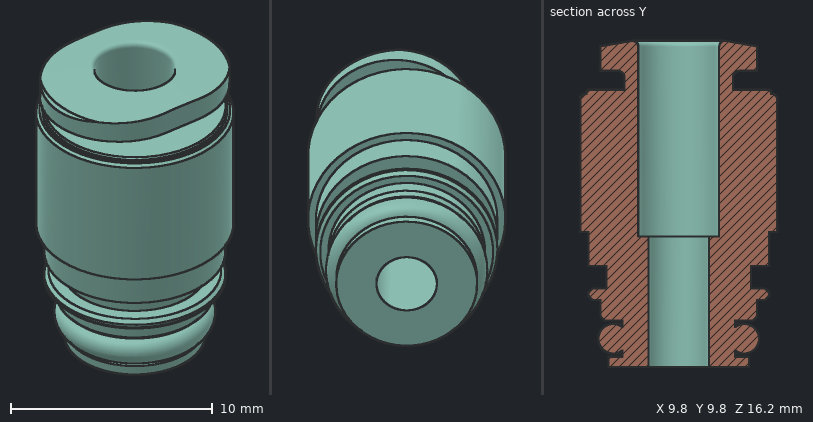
import cadquery as cq

total_height = 16.2
button_bottom = 14.7
body_top = 13.77
lip_bottom = 13.56
body_bottom = 6.69
skirt_bottom = 5.0
collar_top = 3.9
collar_bottom = 3.32
plug_bottom = 2.3
foot_top = 0.52

body_diameter = 9.8
lip_diameter = 9.2
skirt_diameter = 9.0
neck_diameter = 5.4
waist_diameter = 7.2
collar_diameter = 9.0
plug_diameter = 7.8
groove_diameter = 5.6
foot_diameter = 7.0

body_chamfer = 0.16
lip_chamfer = 0.1
collar_chamfer = 0.21
plug_chamfer = 0.21
neck_fillet = 0.35

ring_diameter = 8.0
ring_section_radius = 0.75
ring_center_radius = ring_diameter / 2 - ring_section_radius
ring_height = (foot_top + plug_bottom) / 2

button_length = body_diameter
button_width = 7.8
button_rim_radius = 4.73
cone_drop = 0.42
rim_drop = 0.2

through_diameter = 3.0
tube_diameter = 4.0
tube_depth = 9.72
mouth_radius = 0.3


def cylinder(diameter, bottom, top):
    return cq.Workplane("XY").workplane(offset=bottom).circle(diameter / 2).extrude(top - bottom)


def make_body():
    """Stack the turned steps from the foot up to the neck below the button."""
    foot = cylinder(foot_diameter, 0, foot_top)
    groove = cylinder(groove_diameter, foot_top, plug_bottom)
    plug = cylinder(plug_diameter, plug_bottom, collar_bottom).faces("<Z").chamfer(plug_chamfer)
    collar = cylinder(collar_diameter, collar_bottom, collar_top)
    collar = collar.faces("<Z or >Z").chamfer(collar_chamfer)
    waist = cylinder(waist_diameter, collar_top, skirt_bottom)
    skirt = cylinder(skirt_diameter, skirt_bottom, body_bottom)
    sleeve = cylinder(body_diameter, body_bottom, lip_bottom).faces(">Z").chamfer(body_chamfer)
    lip = cylinder(lip_diameter, lip_bottom, body_top).faces(">Z").chamfer(lip_chamfer)
    neck = cylinder(neck_diameter, body_top, button_bottom)

    body = foot
    for step in (groove, plug, collar, waist, skirt, sleeve, lip, neck):
        body = body.union(step)
    return body


def make_ring():
    return (
        cq.Workplane("XZ")
        .center(ring_center_radius, ring_height)
        .circle(ring_section_radius)
        .revolve(360, (-ring_center_radius, 0), (-ring_center_radius, 1))
    )


def make_button():
    """Trim an obround plate with a turned envelope that has a coned top."""
    plate = (
        cq.Workplane("XY")
        .workplane(offset=button_bottom)
        .slot2D(button_length, button_width, 90)
        .extrude(total_height - button_bottom)
    )
    cone_start = tube_diameter / 2 + mouth_radius
    rim_height = total_height - cone_drop
    envelope = (
        cq.Workplane("XZ")
        .moveTo(0, button_bottom)
        .lineTo(button_length / 2, button_bottom)
        .lineTo(button_length / 2, rim_height - rim_drop)
        .lineTo(button_rim_radius, rim_height)
        .lineTo(cone_start, total_height)
        .lineTo(0, total_height)
        .close()
        .revolve(360, (0, 0), (0, 1))
    )
    return plate.intersect(envelope)


def make_neck_fillet():
    """Concave flare between the neck and the underside of the button."""
    neck_radius = neck_diameter / 2
    flare_radius = neck_radius + neck_fillet
    flare_bottom = button_bottom - neck_fillet
    return (
        cq.Workplane("XZ")
        .moveTo(0, flare_bottom)
        .lineTo(neck_radius, flare_bottom)
        .radiusArc((flare_radius, button_bottom), neck_fillet)
        .lineTo(0, button_bottom)
        .close()
        .revolve(360, (0, 0), (0, 1))
    )


def make_bore():
    """Through passage, wider tube socket and its rounded mouth."""
    passage = cylinder(through_diameter, 0, total_height)
    socket = cylinder(tube_diameter, total_height - tube_depth, total_height)
    socket_radius = tube_diameter / 2
    mouth_bottom = total_height - mouth_radius
    mouth = (
        cq.Workplane("XZ")
        .moveTo(0, mouth_bottom)
        .lineTo(socket_radius, mouth_bottom)
        .radiusArc((socket_radius + mouth_radius, total_height), mouth_radius)
        .lineTo(0, total_height)
        .close()
        .revolve(360, (0, 0), (0, 1))
    )
    return passage.union(socket).union(mouth)


result = make_body().union(make_ring()).union(make_button()).union(make_neck_fillet()).cut(make_bore())